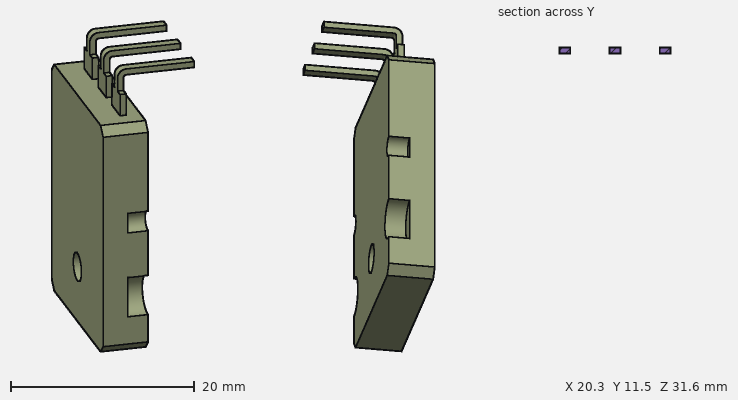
import cadquery as cq

TOTAL_DEPTH = 11.5
TOTAL_HEIGHT = 31.6

BODY_WIDTH = 20.3
BODY_DEPTH = 5.1
BODY_HEIGHT = 26.6
CORNER_CHAMFER = 1.0

HOLE_DIAMETER = 3.2
HOLE_Z = 6.4

LEAD_COUNT = 3
LEAD_PITCH = 5.45
LEAD_THICKNESS = 0.7
LEAD_WIDTH = 1.22
LEAD_FRONT_Y = 2.8
ROOT_WIDTH = 3.22
ROOT_HEIGHT = 2.5
BEND_OUTER_RADIUS = 1.0
BEND_INNER_RADIUS = BEND_OUTER_RADIUS - LEAD_THICKNESS

NOTCH_FLOOR_Y = LEAD_FRONT_Y
LARGE_NOTCH_RADIUS = 2.3
LARGE_NOTCH_Z = 6.5
SMALL_NOTCH_RADIUS = 1.15
SMALL_NOTCH_Z = 15.2


def make_body():
    """Rectangular block with its four corner edges along Y chamfered."""
    block = cq.Workplane("XY").box(BODY_WIDTH, BODY_DEPTH, BODY_HEIGHT, centered=(True, False, False))
    return block.edges("|Y").chamfer(CORNER_CHAMFER)


def cylinder_along_y(x, z, radius, start_y, end_y):
    """Cylinder with its axis along Y, between two Y positions."""
    length = end_y - start_y
    start = cq.Vector(x, start_y, z)
    return cq.Workplane(cq.Solid.makeCylinder(radius, length, start, cq.Vector(0, 1, 0)))


def cut_mounting_hole(body):
    """Plain hole through the full body depth."""
    return body.cut(cylinder_along_y(0, HOLE_Z, HOLE_DIAMETER / 2, 0, BODY_DEPTH))


def cut_side_notches(body):
    """Large and small half-round notches, mirrored on both side faces."""
    for side_x in (-BODY_WIDTH / 2, BODY_WIDTH / 2):
        for z, radius in ((LARGE_NOTCH_Z, LARGE_NOTCH_RADIUS), (SMALL_NOTCH_Z, SMALL_NOTCH_RADIUS)):
            body = body.cut(cylinder_along_y(side_x, z, radius, NOTCH_FLOOR_Y, BODY_DEPTH))
    return body


def make_lead(x):
    """One L-shaped lead with a wide root standing on the top of the body."""
    root = (
        cq.Workplane("XY")
        .box(ROOT_WIDTH, LEAD_THICKNESS, ROOT_HEIGHT, centered=(True, False, False))
        .translate((x, LEAD_FRONT_Y, BODY_HEIGHT))
    )
    back_y = LEAD_FRONT_Y + LEAD_THICKNESS
    underside_z = TOTAL_HEIGHT - LEAD_THICKNESS
    strip = (
        cq.Workplane("YZ", origin=(x, 0, 0))
        .moveTo(LEAD_FRONT_Y, BODY_HEIGHT)
        .lineTo(LEAD_FRONT_Y, TOTAL_HEIGHT - BEND_OUTER_RADIUS)
        .radiusArc((LEAD_FRONT_Y + BEND_OUTER_RADIUS, TOTAL_HEIGHT), BEND_OUTER_RADIUS)
        .lineTo(TOTAL_DEPTH, TOTAL_HEIGHT)
        .lineTo(TOTAL_DEPTH, underside_z)
        .lineTo(back_y + BEND_INNER_RADIUS, underside_z)
        .radiusArc((back_y, underside_z - BEND_INNER_RADIUS), -BEND_INNER_RADIUS)
        .lineTo(back_y, BODY_HEIGHT)
        .close()
        .extrude(LEAD_WIDTH / 2, both=True)
    )
    return root.union(strip)


result = cut_side_notches(cut_mounting_hole(make_body()))
for index in range(LEAD_COUNT):
    lead_x = (index - (LEAD_COUNT - 1) / 2) * LEAD_PITCH
    result = result.union(make_lead(lead_x))